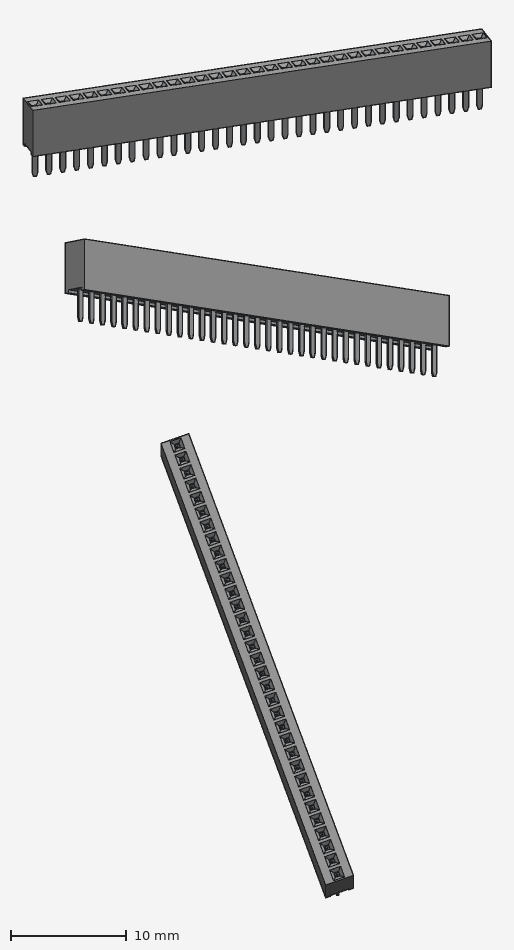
import cadquery as cq

body_length = 41.9
body_width = 2.55
total_height = 7.0
contact_count = 33
pitch = body_length / contact_count

body_height = 4.45
channel_width = 1.68
channel_depth = 0.25

funnel_mouth = 1.0
throat_width = 0.4
bore_width = 0.15
funnel_depth = 0.3
throat_depth = 0.7
socket_depth = 2.5

pin_thickness = 0.15
pin_width = 0.5
tip_width = 0.25
tip_length = 0.38
pin_embed = 0.2

pin_bottom = body_height - total_height
pin_top = channel_depth + pin_embed

contact_positions = [
    (0, (index - (contact_count - 1) / 2) * pitch) for index in range(contact_count)
]


def make_housing():
    """Rectangular bar with a shallow channel along its underside."""
    bar = cq.Workplane("XY").box(
        body_width, body_length, body_height, centered=(True, True, False)
    )
    channel = cq.Workplane("XY").box(
        channel_width, body_length, channel_depth, centered=(True, True, False)
    )
    return bar.cut(channel)


def square_hole(width, depth):
    """Square cutter reaching from the top of the housing down to a depth."""
    return cq.Workplane("XY", origin=(0, 0, body_height)).rect(width, width).extrude(-depth)


def make_socket():
    """Cutter for one opening, with its mouth at the top of the housing."""
    funnel = (
        cq.Workplane("XY", origin=(0, 0, body_height))
        .rect(funnel_mouth, funnel_mouth)
        .workplane(offset=-funnel_depth)
        .rect(throat_width, throat_width)
        .loft(ruled=True)
    )
    throat = square_hole(throat_width, throat_depth)
    bore = square_hole(bore_width, socket_depth)
    return funnel.union(throat).union(bore)


def make_pin():
    """One flat pin, its top end sunk into the housing."""
    shoulder = pin_bottom + tip_length
    outline = [
        (-pin_width / 2, pin_top),
        (-pin_width / 2, shoulder),
        (-tip_width / 2, pin_bottom),
        (tip_width / 2, pin_bottom),
        (pin_width / 2, shoulder),
        (pin_width / 2, pin_top),
    ]
    return cq.Workplane("YZ").polyline(outline).close().extrude(pin_thickness / 2, both=True)


def at_every_contact(shape):
    """Copies of a shape at each contact position along the strip."""
    solid = shape.val()
    return cq.Workplane("XY").pushPoints(contact_positions).eachpoint(
        lambda location: solid.moved(location)
    )


sockets = at_every_contact(make_socket())
pins = at_every_contact(make_pin())
result = make_housing().cut(sockets).union(pins)